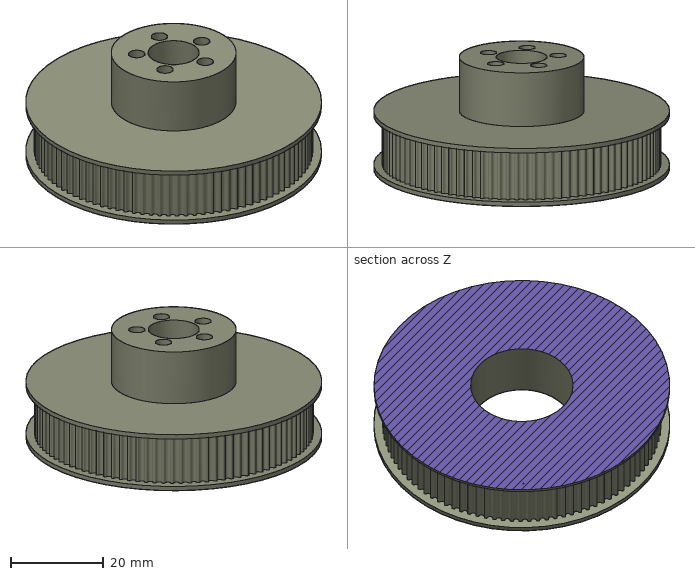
import cadquery as cq
import math

flange_diameter = 64.0
flange_thickness = 1.0
belt_width = 11.0
hub_diameter = 27.0
hub_height = 12.0

tooth_count = 99
rim_diameter = 60.3
groove_depth = 0.75
root_arc_radius = 0.605
flank_arc_radius = 1.05
flank_centre_offset = 0.4
tooth_corner_radius = 0.22

bore_diameter = 11.0
counterbore_diameter = 22.0
hub_web_thickness = 6.0
bolt_count = 5
bolt_hole_diameter = 3.5
bolt_circle_diameter = 16.0
first_bolt_angle = 90.0

rim_radius = rim_diameter / 2
root_radius = rim_radius - groove_depth
rim_base = flange_thickness
upper_flange_base = rim_base + belt_width
hub_base = upper_flange_base + flange_thickness
total_height = hub_base + hub_height
counterbore_depth = total_height - hub_web_thickness


def disc(diameter, base, height):
    return cq.Workplane("XY").workplane(offset=base).circle(diameter / 2).extrude(height)


def polar_point(radius, angle):
    return (radius * math.cos(angle), radius * math.sin(angle))


def point_beyond(start, through, distance):
    """Point at a distance from start, on the ray that passes through a second point."""
    direction = math.atan2(through[1] - start[1], through[0] - start[0])
    offset_x, offset_y = polar_point(distance, direction)
    return (start[0] + offset_x, start[1] + offset_y)


def arc_middle(centre, radius, start, end):
    chord_middle = ((start[0] + end[0]) / 2, (start[1] + end[1]) / 2)
    return point_beyond(centre, chord_middle, radius)


def half_groove_points():
    """Points of one half of a groove centred on the +X axis, from the root out to the tooth tip.

    The root arc runs tangent into a larger flank arc, which runs tangent into
    the rounded tooth corner, which is tangent to the rim circle.
    """
    root = (root_radius, 0)
    root_centre = (root_radius + root_arc_radius, 0)
    flank_rise = math.sqrt((flank_arc_radius - root_arc_radius) ** 2 - flank_centre_offset**2)
    flank_centre = (root_centre[0] + flank_rise, -flank_centre_offset)

    corner_orbit = rim_radius - tooth_corner_radius
    centre_spacing = flank_arc_radius + tooth_corner_radius
    flank_orbit = math.hypot(*flank_centre)
    angle_between = math.acos(
        (corner_orbit**2 + flank_orbit**2 - centre_spacing**2) / (2 * corner_orbit * flank_orbit)
    )
    flank_angle = math.atan2(flank_centre[1], flank_centre[0])
    corner_centre = polar_point(corner_orbit, flank_angle + angle_between)

    flank_start = point_beyond(flank_centre, root_centre, flank_arc_radius)
    flank_end = point_beyond(flank_centre, corner_centre, flank_arc_radius)
    tip_start = point_beyond((0, 0), corner_centre, rim_radius)
    flank_middle = arc_middle(flank_centre, flank_arc_radius, flank_start, flank_end)
    corner_middle = arc_middle(corner_centre, tooth_corner_radius, flank_end, tip_start)
    return [root, flank_start, flank_middle, flank_end, corner_middle, tip_start]


def turned(point, angle):
    return polar_point(math.hypot(*point), math.atan2(point[1], point[0]) + angle)


def toothed_rim():
    """Rim with one tooth centred on the -Y axis."""
    pitch_angle = 2 * math.pi / tooth_count
    first_groove_angle = -math.pi / 2 + pitch_angle / 2
    rising_half = half_groove_points()
    falling_half = [(x, -y) for x, y in reversed(rising_half)]
    groove = falling_half + rising_half[1:]

    outline = cq.Workplane("XY").workplane(offset=rim_base)
    outline = outline.moveTo(*turned(groove[0], first_groove_angle))
    for index in range(tooth_count):
        groove_angle = first_groove_angle + index * pitch_angle
        placed = [turned(point, groove_angle) for point in groove]
        for middle, end in zip(placed[1::2], placed[2::2]):
            outline = outline.threePointArc(middle, end)
        tip_middle = polar_point(rim_radius, groove_angle + pitch_angle / 2)
        next_groove_start = turned(groove[0], groove_angle + pitch_angle)
        outline = outline.threePointArc(tip_middle, next_groove_start)
    return outline.close().extrude(belt_width)


def bolt_holes():
    return (
        cq.Workplane("XY")
        .polarArray(bolt_circle_diameter / 2, first_bolt_angle, 360, bolt_count)
        .circle(bolt_hole_diameter / 2)
        .extrude(total_height)
    )


body = (
    toothed_rim()
    .union(disc(flange_diameter, 0, flange_thickness))
    .union(disc(flange_diameter, upper_flange_base, flange_thickness))
    .union(disc(hub_diameter, hub_base, hub_height))
)
result = (
    body.cut(disc(bore_diameter, 0, total_height))
    .cut(disc(counterbore_diameter, 0, counterbore_depth))
    .cut(bolt_holes())
)